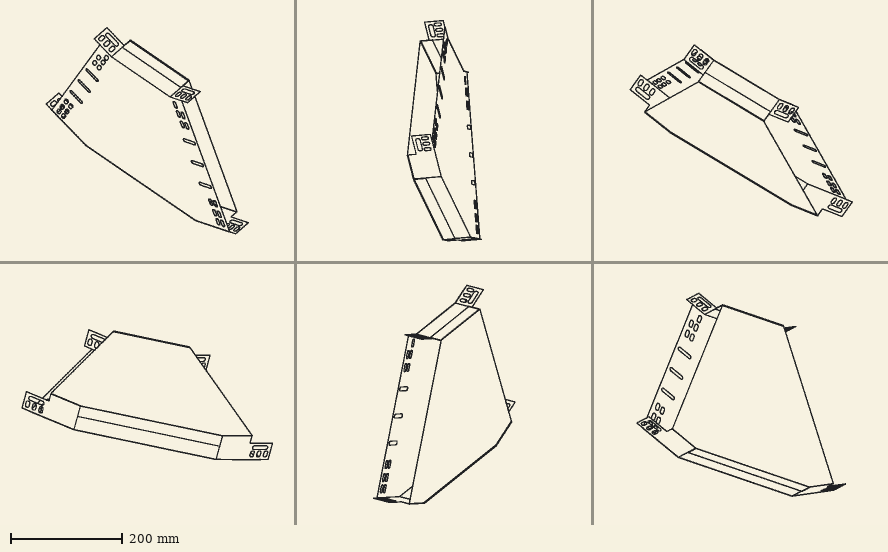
import cadquery as cq
import math


half_turn = math.radians(22.5)
overall_span = 454.73
overall_height = 319.63
overall_depth = 51.8
sheet = 0.6

tray_width = 301.8
tray_depth = 50.0

tab_reach = 15.0
wall_setback = 30.0
tab_level = 35.0

lip_depth = 22.6
outer_standoff = 0.8
outer_clearance = 0.4

base_slot_length = 15.0
base_slot_width = 7.0
base_slot_offsets = (89.3, 113.5, 134.3)
edge_column = 12.0
inner_column = 23.8
cross_slot_length = 31.0
cross_slot_width = 7.0
cross_slot_inset = 21.6
cross_slot_pitch = 50.0

tab_slot_length = 12.7
tab_slot_width = 7.0
tab_slot_count = 3
tab_slot_start = 8.3
tab_slot_pitch = 13.35
tab_slot_level = 12.2
long_slot_length = 30.0
long_slot_width = 8.0
long_slot_level = 25.5

sine = math.sin(half_turn)
cosine = math.cos(half_turn)
bend_tangent = math.tan(half_turn / 2)
tab_length = tab_reach + wall_setback
cover_seat = tray_depth + outer_standoff
cover_rise = overall_depth - cover_seat - sheet

inner_bend = (overall_span / 2 - tab_length * cosine - tray_width * sine, 0)
inner_end = (inner_bend[0] + wall_setback * cosine, wall_setback * sine)
outer_end = (inner_end[0] + tray_width * sine, inner_end[1] - tray_width * cosine)
outer_z = tab_length * sine - overall_height + sheet + outer_clearance
outer_bend = (outer_end[0] - (outer_end[1] - outer_z) / math.tan(half_turn), outer_z)


def shifted(point, outward, across=0):
    """Point moved out of the right open end, and across it towards the inner wall."""
    x = point[0] + outward * cosine - across * sine
    z = point[1] + outward * sine + across * cosine
    return (x, z)


def offset_bend(point, distance):
    """Bend of a side wall moved across the tray, towards the inner wall when positive."""
    return (point[0] - distance * bend_tangent, point[1] + distance)


def symmetric_plate(right_half, y_start, y_end):
    """Plate from the right half of its XZ outline, listed from one crossing of X = 0 to the other."""
    left_half = [(-x, z) for x, z in reversed(right_half)]
    plane = cq.Workplane("XZ", origin=(0, y_start, 0))
    return plane.polyline(right_half + left_half).close().extrude(y_start - y_end)


def at_both_ends(right_cutter):
    return right_cutter.union(right_cutter.mirror("YZ"))


def end_workplane(y):
    """Workplane at depth y on the middle of the right open end: X out of the end, Y across it."""
    x, z = shifted(inner_end, 0, -tray_width / 2)
    return cq.Workplane(cq.Plane(origin=(x, y, z), xDir=(cosine, 0, sine), normal=(0, -1, 0)))


def tab_workplane():
    """Workplane on the outer face of the inner right tab: X inwards from its tip, Y along the depth."""
    x, z = shifted(inner_end, tab_reach)
    return cq.Workplane(cq.Plane(origin=(x, 0, z), xDir=(-cosine, 0, -sine), normal=(sine, 0, -cosine)))


def side_wall(bend, end, inward):
    """Bent side wall between both tab tips; inward is the thickness, signed towards the inside."""
    tip = shifted(end, tab_reach)
    inside_tip = shifted(tip, 0, inward)
    return symmetric_plate([bend, tip, inside_tip, offset_bend(bend, inward)], 0, tray_depth)


def wall_end_notches():
    """Steps each wall end down to its tab and keeps the tab clear of the base's front face."""
    cutter_width = 2 * tray_width
    step = end_workplane(tray_depth).center((tab_reach - wall_setback) / 2, 0)
    step = step.rect(tab_length, cutter_width).extrude(tray_depth - tab_level)
    front = end_workplane(0).center(tab_reach / 2, 0).rect(tab_reach, cutter_width).extrude(-sheet)
    return at_both_ends(step.union(front))


def base_slots():
    offsets = [side * offset for offset in base_slot_offsets for side in (1, -1)]
    places = [(-inset, offset) for inset in (edge_column, inner_column) for offset in offsets]
    places.remove((-edge_column, base_slot_offsets[-1]))
    slots = end_workplane(0).pushPoints(places)
    slots = slots.slot2D(base_slot_length, base_slot_width, 90).extrude(-sheet)

    cross_places = [(-cross_slot_inset, step * cross_slot_pitch) for step in (-1, 0, 1)]
    cross_slots = end_workplane(0).pushPoints(cross_places)
    cross_slots = cross_slots.slot2D(cross_slot_length, cross_slot_width).extrude(-sheet)
    return at_both_ends(slots.union(cross_slots))


def tab_slots():
    """Slots through the inner and the outer tab, which face each other across the open end."""
    places = [(tab_slot_start + i * tab_slot_pitch, tab_slot_level) for i in range(tab_slot_count)]
    slots = tab_workplane().pushPoints(places)
    slots = slots.slot2D(tab_slot_length, tab_slot_width, 90).extrude(tray_width)

    long_slot = tab_workplane().center(tab_length / 2, long_slot_level)
    long_slot = long_slot.slot2D(long_slot_length, long_slot_width).extrude(tray_width)
    return at_both_ends(slots.union(long_slot))


def make_tray():
    base = symmetric_plate([inner_bend, inner_end, outer_end, outer_bend], 0, sheet)
    inner_wall = side_wall(inner_bend, inner_end, -sheet).cut(wall_end_notches())
    outer_wall = side_wall(outer_bend, outer_end, sheet).cut(wall_end_notches())
    tray = base.union(inner_wall).union(outer_wall)
    return tray.cut(base_slots()).cut(tab_slots())


def cover_lip(half_length, z_start, z_end):
    """Flat lip outside a side wall, hanging from the cover plate towards the base."""
    back = cover_seat + sheet
    return symmetric_plate([(half_length, z_start), (half_length, z_end)], back - lip_depth, back)


def make_cover():
    """Cover just clear of the tray's walls, tilted slightly so that it is farther from the inner one."""
    corner = shifted(outer_end, -wall_setback, -outer_clearance)
    lip_bend = offset_bend(outer_bend, -outer_clearance)
    plate = symmetric_plate([inner_bend, corner, lip_bend], cover_seat, cover_seat + sheet)
    inner_lip = cover_lip(inner_bend[0], 0, sheet)
    outer_lip = cover_lip(lip_bend[0], lip_bend[1], lip_bend[1] - sheet)
    cover = plate.union(inner_lip).union(outer_lip)

    tilt = math.degrees(math.atan2(cover_rise, -outer_z))
    return cover.rotate((0, cover_seat, outer_z), (1, cover_seat, outer_z), -tilt)


tray = make_tray()
cover = make_cover()

result = cq.Compound.makeCompound([tray.val(), cover.val()])